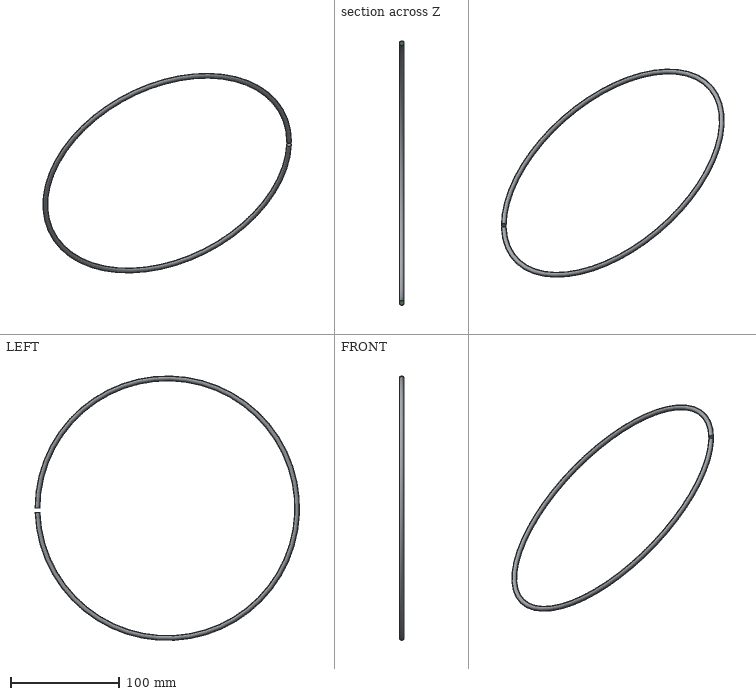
import cadquery as cq
import math

outer_diameter = 244.7
wire_diameter = 4.5
gap_width = 4.0

center_radius = (outer_diameter - wire_diameter) / 2
gap_angle = math.degrees(gap_width / center_radius)

result = (
    cq.Workplane("XY")
    .center(0, center_radius)
    .circle(wire_diameter / 2)
    .revolve(360 - gap_angle, (0, -center_radius, 0), (1, -center_radius, 0))
)